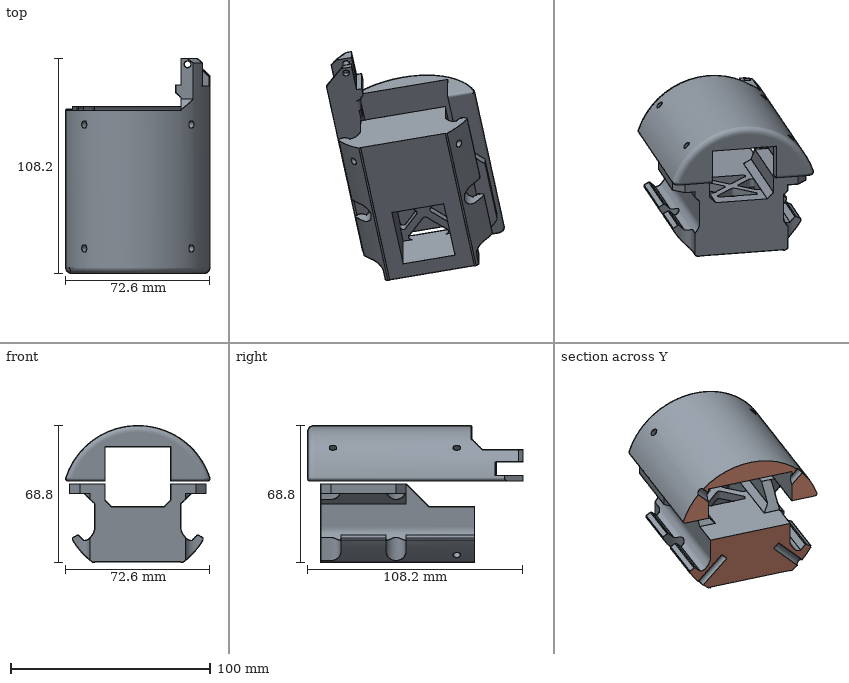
import cadquery as cq
import math

TUBE_RADIUS = 38.1
BIG = 200.0
CHANNEL_HALF_WIDTH = 16.45
SCREW_DIAMETER = 3.61
SCREW_ANGLE = 45.0
SCREW_INNER_RADIUS = 20.0
FRONT_SCREW_Y = 12.7
REAR_SCREW_Y = 74.95

COVER_BOTTOM = 10.2
COVER_LENGTH = 82.65
CHANNEL_TOP = 27.35
FRONT_WALL = 6.45
CAVITY_HALF_WIDTH = 22.6
FRONT_ROUND = 3.175
BOTTOM_ROUND = 1.24
REAR_BEVEL = 0.6

ARM_INNER_X = 21.65
ARM_TOP = 26.05
ARM_ROOT_Y = 88.5
ARM_END_Y = 108.2
RAMP_START_Y = 87.7
FORK_Y = 94.2
FORK_BOTTOM = 13.03
FORK_TOP = 19.87
UPPER_PRONG_SETBACK = 2.3
LOWER_PRONG_SETBACK = 9.3
LUG_INNER_X = 19.05
LUG_FLAT_START_Y = 90.9
LUG_END_Y = 94.85
PIN_HOLE_DIAMETER = 3.3
PIN_HOLE_X = 25.0
PIN_HOLE_Y = 105.2

BASE_FRONT_Y = 6.5
BASE_REAR_Y = 83.9
BASE_TOP = 8.85
BASE_BOTTOM = -30.68
COLUMN_HALF_WIDTH = 21.65
BOTTOM_RECESS = 0.25
FLOOR_Z = -2.6
FLOOR_CHAMFER = 3.2
FLANGE_HALF_WIDTH = 34.35
FLANGE_UNDERSIDE = 3.95
FLANGE_BEVEL = 5.2
FLANGE_REAR_Y = 49.5
GUTTER_RADIUS = 6.35
GUTTER_SLOPE = 53.0
GUTTER_FLAT_LENGTH = 1.6
VALLEY_RADIUS = 3.65
GUTTER_Z = -13.0
HOOK_FOOT_X = 27.2
HOOK_PEAK_INNER_X = 29.8
HOOK_PEAK_OUTER_X = 30.5
HOOK_PEAK_Z = -16.95
HOOK_TIP_X = 32.85
HOOK_TIP_Z = -18.3
NOTCH_RADIUS = 5.08
NOTCH_INNER_X = 23.9
FRONT_NOTCH_Y = 11.7
REAR_NOTCH_Y = FLANGE_REAR_Y - NOTCH_RADIUS

QUARTER_TURN = 90
WINDOW_FRONT_Y = 14.3
WINDOW_HALF_WIDTH = CHANNEL_HALF_WIDTH - FLOOR_CHAMFER
WINDOW_HALF_LENGTH = 15.0
WINDOW_CORNER_RADIUS = 1.5
BRACE_WIDTH = 3.9
FLOOR_THICKNESS = 4.4


def block(x0, x1, y0, y1, z0, z1):
    return cq.Workplane("XY").box(x1 - x0, y1 - y0, z1 - z0, centered=False).translate((x0, y0, z0))


def circle_height(x):
    return math.sqrt(TUBE_RADIUS**2 - x**2)


def tube_segment(y0, y1):
    half_chord = circle_height(COVER_BOTTOM)
    return (
        cq.Workplane("XZ", origin=(0, y0, 0))
        .moveTo(-half_chord, COVER_BOTTOM)
        .threePointArc((0, TUBE_RADIUS), (half_chord, COVER_BOTTOM))
        .close()
        .extrude(y0 - y1)
    )


def radial_screw_hole(side, vertical, y):
    sine = math.sin(math.radians(SCREW_ANGLE))
    cosine = math.cos(math.radians(SCREW_ANGLE))
    direction = cq.Vector(side * sine, 0, vertical * cosine)
    start = direction * SCREW_INNER_RADIUS + cq.Vector(0, y, 0)
    return cq.Workplane(cq.Solid.makeCylinder(SCREW_DIAMETER / 2, TUBE_RADIUS, start, direction))


def outside_cone(end_y, setback, x_limits, z_limits):
    """Material outside a 45 degree cone that narrows by `setback` toward the end plane."""
    start_y = end_y - setback
    cone = cq.Solid.makeCone(
        TUBE_RADIUS,
        TUBE_RADIUS - setback,
        setback,
        cq.Vector(0, start_y, 0),
        cq.Vector(0, 1, 0),
    )
    return block(*x_limits, start_y, end_y, *z_limits).cut(cq.Workplane(cone))


def make_arm():
    arm_limits = block(ARM_INNER_X, BIG, 0, BIG, COVER_BOTTOM, ARM_TOP)
    arm = tube_segment(ARM_ROOT_Y, ARM_END_Y).intersect(arm_limits)
    arm = arm.faces("<Z").edges(">X").fillet(BOTTOM_ROUND)
    lug = (
        cq.Workplane("XY", origin=(0, 0, COVER_BOTTOM))
        .polyline([
            (ARM_INNER_X, ARM_ROOT_Y),
            (LUG_INNER_X, LUG_FLAT_START_Y),
            (LUG_INNER_X, LUG_END_Y),
            (ARM_INNER_X, LUG_END_Y),
        ])
        .close()
        .extrude(ARM_TOP - COVER_BOTTOM)
    )
    arm = arm.cut(block(ARM_INNER_X, BIG, FORK_Y, BIG, FORK_BOTTOM, FORK_TOP))
    arm = arm.cut(outside_cone(ARM_END_Y, UPPER_PRONG_SETBACK, (0, BIG), (FORK_TOP, BIG)))
    arm = arm.cut(outside_cone(ARM_END_Y, LOWER_PRONG_SETBACK, (0, BIG), (0, FORK_BOTTOM)))
    pin_hole = cq.Workplane("XY").center(PIN_HOLE_X, PIN_HOLE_Y).circle(PIN_HOLE_DIAMETER / 2).extrude(BIG)
    return arm.union(lug).cut(pin_hole)


def make_cover():
    cover = tube_segment(0, ARM_ROOT_Y)
    cover = cover.cut(block(-BIG, ARM_INNER_X, COVER_LENGTH, BIG, 0, BIG))
    ramp_rise = TUBE_RADIUS - ARM_TOP
    above_ramp = (
        cq.Workplane("YZ")
        .polyline([
            (ARM_ROOT_Y, ARM_TOP),
            (RAMP_START_Y, ARM_TOP),
            (RAMP_START_Y - ramp_rise, TUBE_RADIUS),
            (ARM_ROOT_Y, TUBE_RADIUS),
        ])
        .close()
        .extrude(BIG)
        .intersect(block(ARM_INNER_X, BIG, 0, BIG, 0, BIG))
    )
    cover = cover.cut(above_ramp)
    cover = cover.faces("<Y").edges(">Z").fillet(FRONT_ROUND)
    lower_edges = cover.faces("<Z").edges().filter(lambda edge: edge.Center().y < ARM_ROOT_Y)
    cover = lower_edges.fillet(BOTTOM_ROUND)
    cover = cover.cut(outside_cone(COVER_LENGTH, REAR_BEVEL, (-BIG, ARM_INNER_X), (0, BIG)))
    cover = cover.union(make_arm())
    cover = cover.cut(block(-CHANNEL_HALF_WIDTH, CHANNEL_HALF_WIDTH, 0, FRONT_WALL, 0, CHANNEL_TOP))
    cover = cover.cut(block(-CAVITY_HALF_WIDTH, CAVITY_HALF_WIDTH, FRONT_WALL, COVER_LENGTH, 0, CHANNEL_TOP))
    for side in (-1, 1):
        for y in (FRONT_SCREW_Y, REAR_SCREW_Y):
            cover = cover.cut(radial_screw_hole(side, 1, y))
    return cover


def make_column():
    """Central block whose top steps down at 45 degrees to the floor level at the rear."""
    slope_end_y = FLANGE_REAR_Y + BASE_TOP - FLOOR_Z
    return (
        cq.Workplane("YZ", origin=(-COLUMN_HALF_WIDTH, 0, 0))
        .polyline([
            (BASE_FRONT_Y, BASE_BOTTOM + BOTTOM_RECESS),
            (BASE_FRONT_Y, BASE_TOP),
            (FLANGE_REAR_Y, BASE_TOP),
            (slope_end_y, FLOOR_Z),
            (BASE_REAR_Y, FLOOR_Z),
            (BASE_REAR_Y, BASE_BOTTOM + BOTTOM_RECESS),
        ])
        .close()
        .extrude(2 * COLUMN_HALF_WIDTH)
    )


def make_flange():
    """Top flange with a sloped underside and four cut corners."""
    slope_foot_z = FLANGE_UNDERSIDE - FLANGE_BEVEL
    slope_top_x = COLUMN_HALF_WIDTH + FLANGE_BEVEL
    length = FLANGE_REAR_Y - BASE_FRONT_Y
    plate = block(
        -FLANGE_HALF_WIDTH, FLANGE_HALF_WIDTH, BASE_FRONT_Y, FLANGE_REAR_Y, FLANGE_UNDERSIDE, BASE_TOP
    )
    plate = plate.edges("|Z").chamfer(FLANGE_BEVEL)
    support = (
        cq.Workplane("XZ", origin=(0, BASE_FRONT_Y, 0))
        .polyline([
            (-slope_top_x, FLANGE_UNDERSIDE),
            (slope_top_x, FLANGE_UNDERSIDE),
            (COLUMN_HALF_WIDTH, slope_foot_z),
            (-COLUMN_HALF_WIDTH, slope_foot_z),
        ])
        .close()
        .extrude(-length)
    )
    return plate.union(support)


def make_hook():
    """Hook on the +X side: a rounded gutter beside the column, bounded below by the tube radius."""
    slope = math.radians(GUTTER_SLOPE)
    sweep = math.pi / 2 - slope
    gutter_x = COLUMN_HALF_WIDTH + GUTTER_RADIUS
    gutter_middle = (
        gutter_x - GUTTER_RADIUS * math.cos(sweep / 2),
        GUTTER_Z - GUTTER_RADIUS * math.sin(sweep / 2),
    )
    flat_start = (
        gutter_x - GUTTER_RADIUS * math.cos(sweep),
        GUTTER_Z - GUTTER_RADIUS * math.sin(sweep),
    )
    flat_end = (
        flat_start[0] + GUTTER_FLAT_LENGTH * math.cos(slope),
        flat_start[1] - GUTTER_FLAT_LENGTH * math.sin(slope),
    )
    valley_x = flat_end[0] + VALLEY_RADIUS * math.sin(slope)
    valley_z = flat_end[1] + VALLEY_RADIUS * math.cos(slope)
    valley_middle = (
        valley_x - VALLEY_RADIUS * math.sin(slope / 2),
        valley_z - VALLEY_RADIUS * math.cos(slope / 2),
    )
    foot_z = valley_z - math.sqrt(VALLEY_RADIUS**2 - (HOOK_FOOT_X - valley_x) ** 2)
    lip_x = circle_height(BASE_BOTTOM)
    outer_middle_x = (HOOK_TIP_X + lip_x) / 2
    return (
        cq.Workplane("XZ", origin=(0, BASE_FRONT_Y, 0))
        .moveTo(COLUMN_HALF_WIDTH, BASE_BOTTOM)
        .lineTo(COLUMN_HALF_WIDTH, GUTTER_Z)
        .threePointArc(gutter_middle, flat_start)
        .lineTo(*flat_end)
        .threePointArc(valley_middle, (HOOK_FOOT_X, foot_z))
        .lineTo(HOOK_PEAK_INNER_X, HOOK_PEAK_Z)
        .lineTo(HOOK_PEAK_OUTER_X, HOOK_PEAK_Z)
        .lineTo(HOOK_TIP_X, HOOK_TIP_Z)
        .lineTo(HOOK_TIP_X, -circle_height(HOOK_TIP_X))
        .threePointArc((outer_middle_x, -circle_height(outer_middle_x)), (lip_x, BASE_BOTTOM))
        .close()
        .extrude(BASE_FRONT_Y - BASE_REAR_Y)
    )


def make_notches():
    """Upright round-ended notches on the +X side, the front one open to the front face."""
    centre_x = NOTCH_INNER_X + NOTCH_RADIUS
    height = FLANGE_UNDERSIDE - BASE_BOTTOM
    notches = (
        cq.Workplane("XY", origin=(0, 0, BASE_BOTTOM))
        .pushPoints([(centre_x, FRONT_NOTCH_Y), (centre_x, REAR_NOTCH_Y)])
        .circle(NOTCH_RADIUS)
        .extrude(height)
    )
    for y in (FRONT_NOTCH_Y, REAR_NOTCH_Y):
        mouth = block(centre_x, BIG, y - NOTCH_RADIUS, y + NOTCH_RADIUS, BASE_BOTTOM, FLANGE_UNDERSIDE)
        notches = notches.union(mouth)
    front_opening = block(NOTCH_INNER_X, BIG, BASE_FRONT_Y, FRONT_NOTCH_Y, BASE_BOTTOM, FLANGE_UNDERSIDE)
    return notches.union(front_opening)


def make_channel():
    """Channel between the flanges, with sloped lower corners."""
    floor_half_width = CHANNEL_HALF_WIDTH - FLOOR_CHAMFER
    return (
        cq.Workplane("XZ", origin=(0, BASE_FRONT_Y, 0))
        .polyline([
            (-floor_half_width, FLOOR_Z),
            (floor_half_width, FLOOR_Z),
            (CHANNEL_HALF_WIDTH, FLOOR_Z + FLOOR_CHAMFER),
            (CHANNEL_HALF_WIDTH, BASE_TOP),
            (-CHANNEL_HALF_WIDTH, BASE_TOP),
            (-CHANNEL_HALF_WIDTH, FLOOR_Z + FLOOR_CHAMFER),
        ])
        .close()
        .extrude(BASE_FRONT_Y - BASE_REAR_Y)
    )


def make_floor_windows():
    """Four triangles left open by an X-shaped 45 degree brace in the floor."""
    centre_y = WINDOW_FRONT_Y + WINDOW_HALF_LENGTH
    brace_offset = BRACE_WIDTH / math.sqrt(2)
    windows = []
    for quarter in range(4):
        reach = WINDOW_HALF_LENGTH if quarter % 2 == 0 else WINDOW_HALF_WIDTH
        window = (
            cq.Workplane("XY", origin=(0, 0, FLOOR_Z - FLOOR_THICKNESS))
            .polyline([
                (0, -brace_offset),
                (brace_offset - reach, -reach),
                (reach - brace_offset, -reach),
            ])
            .close()
            .extrude(FLOOR_THICKNESS)
            .edges("|Z")
            .fillet(WINDOW_CORNER_RADIUS)
        )
        turned_window = window.rotate((0, 0, 0), (0, 0, 1), quarter * QUARTER_TURN)
        windows.append(turned_window.translate((0, centre_y, 0)))
    return windows


def make_base():
    hook = make_hook()
    notches = make_notches()
    base = make_column().union(make_flange()).union(hook).union(hook.mirror("YZ"))
    for notch in (notches, notches.mirror("YZ")):
        base = base.cut(notch)
    base = base.cut(make_channel())
    for window in make_floor_windows():
        base = base.cut(window)
    cavity_rear_y = WINDOW_FRONT_Y + 2 * WINDOW_HALF_LENGTH
    cavity_top = FLOOR_Z - FLOOR_THICKNESS
    cavity = block(
        -WINDOW_HALF_WIDTH, WINDOW_HALF_WIDTH, WINDOW_FRONT_Y, cavity_rear_y, BASE_BOTTOM, cavity_top
    )
    base = base.cut(cavity)
    for side in (-1, 1):
        base = base.cut(radial_screw_hole(side, -1, REAR_SCREW_Y))
    return base


cover = make_cover()
base = make_base()
result = cq.Compound.makeCompound([cover.val(), base.val()])